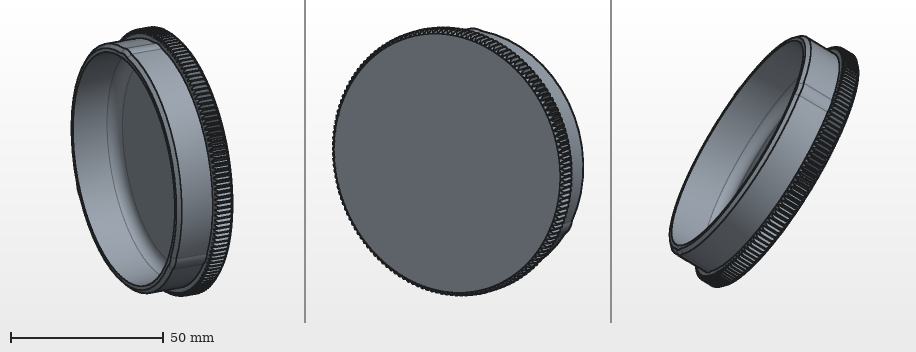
import cadquery as cq
import math

outer_radius = 44.45
total_depth = 19.0
collar_width = 6.5

tooth_count = 150
tooth_root_radius = 43.2
tooth_tip_fraction = 0.2
back_chamfer = 1.25
front_fillet = 1.3

spigot_radius = 41.6
spigot_chamfer = 1.3
rib_count = 3
rib_radius = 7.1
rib_crest_radius = 42.05

bore_radius = 78.0 / 2
bore_fillet = 3.8
floor_thickness = 2.9


def polar(radius, angle):
    """Point at the given radius and angle (radians) from the axis."""
    return (radius * math.cos(angle), radius * math.sin(angle))


def chamfered_post(x, z, radius):
    """Cylinder from the back face (Y = 0) to the open end, chamfered there."""
    post = cq.Workplane("XZ").center(x, z).circle(radius).extrude(total_depth)
    return post.faces("<Y").chamfer(spigot_chamfer)


def make_collar():
    """Collar with V grooves all round, chamfered at the back and rounded at the front."""
    pitch = 2 * math.pi / tooth_count
    half_tip = tooth_tip_fraction * pitch / 2
    outline = []
    for tooth in range(tooth_count):
        middle = tooth * pitch
        outline.append(polar(outer_radius, middle - half_tip))
        outline.append(polar(outer_radius, middle + half_tip))
        outline.append(polar(tooth_root_radius, middle + pitch / 2))
    toothed_disc = cq.Workplane("XZ").polyline(outline).close().extrude(collar_width)

    rim_blank = cq.Workplane("XZ").circle(outer_radius).extrude(collar_width)
    rim_blank = rim_blank.faces(">Y").chamfer(back_chamfer)
    rim_blank = rim_blank.faces("<Y").fillet(front_fillet)
    return toothed_disc.intersect(rim_blank)


def make_spigot():
    """Plain plug with rounded ribs along it and a chamfered front edge."""
    spigot = chamfered_post(0, 0, spigot_radius)
    top_angle = math.pi / 2
    rib_offset = rib_crest_radius - rib_radius
    for rib in range(rib_count):
        x, z = polar(rib_offset, top_angle + rib * 2 * math.pi / rib_count)
        spigot = spigot.union(chamfered_post(x, z, rib_radius))
    return spigot


def make_bore():
    """Solid that hollows out the cup, with a rounded corner where the wall meets the floor."""
    bore = (
        cq.Workplane("XZ", origin=(0, -floor_thickness, 0))
        .circle(bore_radius)
        .extrude(total_depth - floor_thickness)
    )
    return bore.faces(">Y").fillet(bore_fillet)


result = make_collar().union(make_spigot()).cut(make_bore())